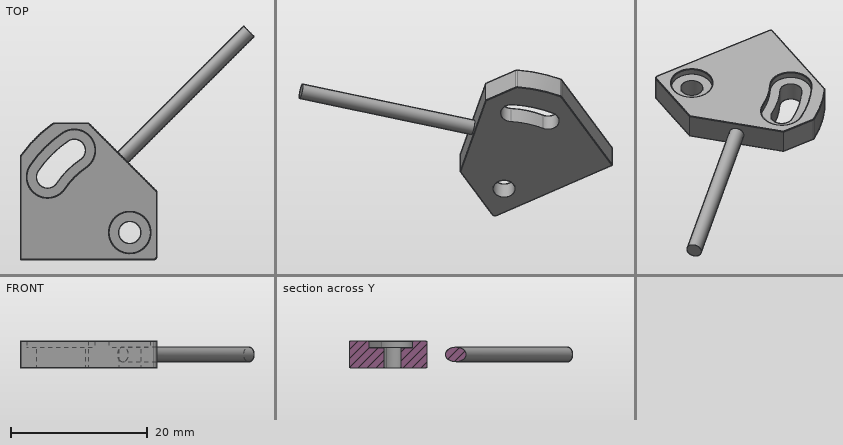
import cadquery as cq
import math

overall_size = 34.15

body_side = 20.0
body_height = 4.0
bevel_leg = body_side / 2
edge_chamfer = 0.1
corner_radius = 0.5

pivot_x = 0.8 * body_side
pivot_y = 0.2 * body_side
screw_hole_radius = 1.6
recess_radius = 3.0
recess_depth = 1.0
swing_radius = 14.5
slot_mid_angle = 135.0
slot_half_angle = 11.0
slot_end_angles = (slot_mid_angle - slot_half_angle, slot_mid_angle + slot_half_angle)
corner_swing_radius = 19.5

cable_radius = 1.1
cable_embed = 0.35


def swing_point(radius, angle):
    """Point at a polar position around the pivot hole."""
    turn = math.radians(angle)
    return (pivot_x + radius * math.cos(turn), pivot_y + radius * math.sin(turn))


def round_cutter(radius, floor):
    """Cylinder on the pivot axis, from the floor up to the top face."""
    return (
        cq.Workplane("XY", origin=(pivot_x, pivot_y, floor))
        .circle(radius)
        .extrude(body_height - floor)
    )


def slot_tip(end_angle, outward_angle, half_width):
    """Tip of a round slot end, half a width beyond the end centre."""
    centre_x, centre_y = swing_point(swing_radius, end_angle)
    outward = math.radians(outward_angle)
    return (centre_x + half_width * math.cos(outward), centre_y + half_width * math.sin(outward))


def slot_cutter(half_width, floor):
    """Curved slot with round ends, from the floor up to the top face."""
    first, last = slot_end_angles
    outer = swing_radius + half_width
    inner = swing_radius - half_width
    first_tip = slot_tip(first, first - 90, half_width)
    last_tip = slot_tip(last, last + 90, half_width)
    return (
        cq.Workplane("XY", origin=(0, 0, floor))
        .moveTo(*swing_point(outer, first))
        .threePointArc(swing_point(outer, slot_mid_angle), swing_point(outer, last))
        .threePointArc(last_tip, swing_point(inner, last))
        .threePointArc(swing_point(inner, slot_mid_angle), swing_point(inner, first))
        .threePointArc(first_tip, swing_point(outer, first))
        .close()
        .extrude(body_height - floor)
    )


def make_plate():
    """Plate with a bevelled cable corner and a rounded swing corner."""
    arc_left_y = pivot_y + math.sqrt(corner_swing_radius**2 - pivot_x**2)
    arc_top_x = pivot_x - math.sqrt(corner_swing_radius**2 - (body_side - pivot_y) ** 2)
    plate = (
        cq.Workplane("XY")
        .lineTo(body_side, 0)
        .lineTo(body_side, body_side - bevel_leg)
        .lineTo(body_side - bevel_leg, body_side)
        .lineTo(arc_top_x, body_side)
        .threePointArc(swing_point(corner_swing_radius, slot_mid_angle), (0, arc_left_y))
        .close()
        .extrude(body_height)
    )
    mid_height = body_height / 2
    rounded_corners = ((body_side, 0), (0, arc_left_y), (arc_top_x, body_side))
    for corner in rounded_corners:
        nearest = cq.selectors.NearestToPointSelector((*corner, mid_height))
        plate = plate.edges("|Z").edges(nearest).fillet(corner_radius)
    origin_corner = cq.selectors.NearestToPointSelector((0, 0, mid_height))
    return plate.edges("|Z").edges(origin_corner).chamfer(edge_chamfer)


def make_body():
    """Plate with the recessed pivot hole and slot, all rims chamfered."""
    body = make_plate()
    for cutter in (round_cutter, slot_cutter):
        body = body.cut(cutter(recess_radius, body_height - recess_depth))
    body = body.faces("<Z or >Z").edges().chamfer(edge_chamfer)
    for cutter in (round_cutter, slot_cutter):
        body = body.cut(cutter(screw_hole_radius, 0))
    return body


def make_cable():
    """Round cable square to the bevel, long enough to reach the overall size."""
    bevel_mid = body_side - bevel_leg / 2
    end_mid = overall_size - cable_radius / math.sqrt(2)
    length = (end_mid - bevel_mid) * math.sqrt(2)
    bevel_plane = cq.Plane(
        origin=(bevel_mid, bevel_mid, body_height / 2),
        xDir=(0, 0, 1),
        normal=(1, 1, 0),
    )
    return (
        cq.Workplane(bevel_plane)
        .workplane(offset=-cable_embed)
        .circle(cable_radius)
        .extrude(cable_embed + length)
    )


result = make_body().union(make_cable())